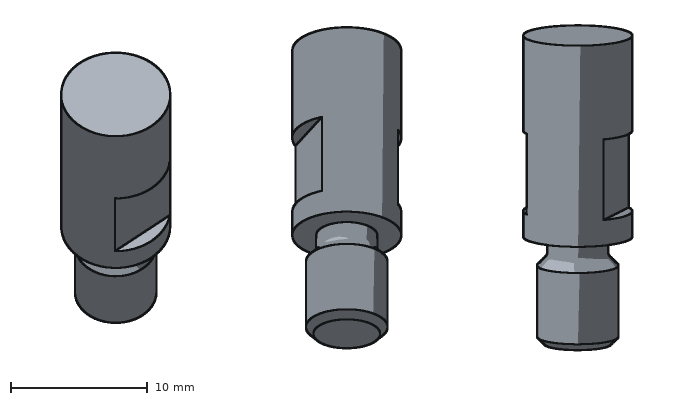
import cadquery as cq
import math

total_length = 23.0
body_diameter = 8.0
body_length = 15.0
flat_spacing = 6.0
flat_length = 6.0
collar_length = 1.9
stud_diameter = 6.0
neck_diameter = 4.48
shoulder_height = 5.86
neck_fillet = 0.5
tip_chamfer = 0.55

body_radius = body_diameter / 2
stud_radius = stud_diameter / 2
neck_radius = neck_diameter / 2
body_bottom = total_length - body_length
flat_bottom = body_bottom + collar_length


def make_turned_blank():
    """Revolve the body, relief neck and chamfered stud about Z."""
    blend_angle = math.radians(45)
    shoulder_top = shoulder_height + stud_radius - neck_radius
    arc_top = shoulder_top + neck_fillet * math.tan(blend_angle / 2)
    arc_center_r = neck_radius + neck_fillet

    def arc_point(angle):
        return (
            arc_center_r - neck_fillet * math.cos(angle),
            arc_top - neck_fillet * math.sin(angle),
        )

    return (
        cq.Workplane("XZ")
        .moveTo(0, 0)
        .lineTo(stud_radius - tip_chamfer, 0)
        .lineTo(stud_radius, tip_chamfer)
        .lineTo(stud_radius, shoulder_height)
        .lineTo(*arc_point(blend_angle))
        .threePointArc(arc_point(blend_angle / 2), arc_point(0))
        .lineTo(neck_radius, body_bottom)
        .lineTo(body_radius, body_bottom)
        .lineTo(body_radius, total_length)
        .lineTo(0, total_length)
        .close()
        .revolve(360, (0, 0, 0), (0, 1, 0))
    )


def make_flat_cutter(side):
    """Block outside one wrench flat; side is +1 or -1 along X."""
    return (
        cq.Workplane("XY", origin=(side * (flat_spacing + body_diameter) / 2, 0, flat_bottom))
        .rect(body_diameter, 2 * body_diameter)
        .extrude(flat_length)
    )


result = make_turned_blank()
for side in (-1, 1):
    result = result.cut(make_flat_cutter(side))